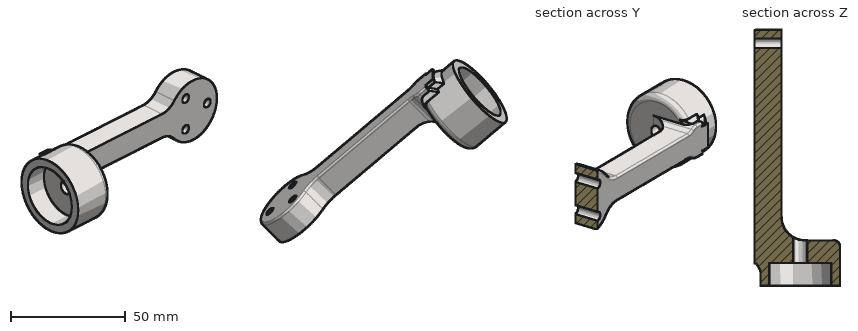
import cadquery as cq
import math

cup_diameter = 35.0
cup_length = 20.0
cup_edge_radius = 3.0
bore_diameter = 27.0
bore_depth = 10.0
axle_hole_diameter = 6.0

overall_length = 112
overall_width = 37.5
arm_thickness = 12.0
arm_width = 12.0
head_diameter = 30.0
neck_radius = 10.0
edge_radius = 1.0
web_radius = 10.0

mount_hole_diameter = 4.0
mount_circle_radius = 9.0
mount_hole_count = 3

root_width = 15.8
root_end_y = 13.8
flare_end_y = 18.0
flare_start_y = 24.1
root_foot_width = 18.6

toe_width = 11.6
toe_end_y = 9.7
toe_foot_width = 15.2

foot_height = 1.8
foot_reach = 3.0

cup_radius = cup_diameter / 2
arm_face_x = cup_radius - overall_width
arm_back_x = arm_face_x + arm_thickness
head_radius = head_diameter / 2
head_y = overall_length - head_radius
half_arm = arm_width / 2
half_root = root_width / 2
wall_center_radius = (cup_diameter + bore_diameter) / 4


def make_cup():
    cup = cq.Workplane("XZ").circle(cup_radius).extrude(-cup_length)
    return cup.faces(">Y").edges().fillet(cup_edge_radius)


def arm_blank(depth):
    """Arm outline, symmetric about Z = 0, extruded along +X from the outer face."""
    neck_offset = half_arm + neck_radius
    neck_reach = math.sqrt((head_radius + neck_radius) ** 2 - neck_offset ** 2)
    neck_y = head_y - neck_reach
    share = head_radius / (head_radius + neck_radius)
    join_y = head_y - neck_reach * share
    join_z = neck_offset * share
    turn = (math.pi / 2 + math.atan2(neck_offset, neck_reach)) / 2
    neck_mid_y = neck_y + neck_radius * math.cos(turn)
    neck_mid_z = neck_offset - neck_radius * math.sin(turn)
    flare_mid_y = (flare_start_y + flare_end_y) / 2
    flare_mid_z = (half_arm + half_root) / 2
    return (
        cq.Workplane("YZ", origin=(arm_face_x, 0, 0))
        .moveTo(root_end_y, -half_root)
        .lineTo(flare_end_y, -half_root)
        .tangentArcPoint((flare_mid_y, -flare_mid_z), relative=False)
        .tangentArcPoint((flare_start_y, -half_arm), relative=False)
        .lineTo(neck_y, -half_arm)
        .threePointArc((neck_mid_y, -neck_mid_z), (join_y, -join_z))
        .threePointArc((overall_length, 0), (join_y, join_z))
        .threePointArc((neck_mid_y, neck_mid_z), (neck_y, half_arm))
        .lineTo(flare_start_y, half_arm)
        .tangentArcPoint((flare_mid_y, flare_mid_z), relative=False)
        .tangentArcPoint((flare_end_y, half_root), relative=False)
        .lineTo(root_end_y, half_root)
        .close()
        .extrude(depth)
    )


def make_arm():
    """Arm plate whose back curves out into a web meeting the back of the cup."""
    web_end_x = arm_back_x + web_radius
    web_start_y = cup_length + web_radius
    bend = web_radius * math.sqrt(0.5)
    side_profile = (
        cq.Workplane("XY", origin=(0, 0, -head_radius))
        .moveTo(arm_face_x, root_end_y)
        .lineTo(arm_face_x, overall_length)
        .lineTo(arm_back_x, overall_length)
        .lineTo(arm_back_x, web_start_y)
        .threePointArc((web_end_x - bend, web_start_y - bend), (web_end_x, cup_length))
        .lineTo(web_end_x, root_end_y)
        .close()
        .extrude(head_diameter)
    )
    blank = arm_blank(web_end_x - arm_face_x)
    rim_zone = cq.selectors.BoxSelector(
        (arm_face_x - edge_radius, root_end_y + edge_radius, -head_radius),
        (arm_face_x + edge_radius, overall_length, head_radius),
    )
    long_edges = blank.faces("<X").edges(rim_zone)
    return long_edges.fillet(edge_radius).intersect(side_profile)


def make_toe():
    """Narrow block under the root, running from the outer face into the cup wall."""
    depth = -wall_center_radius - arm_face_x
    length = flare_end_y - toe_end_y
    block = cq.Workplane("XY").box(depth, length, toe_width, centered=(False, False, True))
    return block.translate((arm_face_x, toe_end_y, 0))


def make_foot(width, foot_width, end_y):
    """Sector of a collar around the cup with a conical end and sides that slope out to the wall."""
    collar_radius = cup_radius + foot_height
    bend = cup_edge_radius * math.sqrt(0.5)
    corner_r = collar_radius - cup_edge_radius
    corner_y = cup_length - cup_edge_radius
    collar = (
        cq.Workplane("XY")
        .moveTo(wall_center_radius, end_y - foot_reach)
        .lineTo(cup_radius, end_y - foot_reach)
        .lineTo(collar_radius, end_y)
        .lineTo(collar_radius, corner_y)
        .threePointArc((corner_r + bend, corner_y + bend), (corner_r, cup_length))
        .lineTo(wall_center_radius, cup_length)
        .close()
        .revolve(360, (0, 0, 0), (0, 1, 0))
    )
    inner_x = -wall_center_radius / 2
    top_z = width / 2
    base_z = foot_width / 2
    top_x = -math.sqrt(collar_radius ** 2 - top_z ** 2)
    base_x = -math.sqrt(cup_radius ** 2 - base_z ** 2)
    sector = (
        cq.Workplane("XZ")
        .polyline([
            (arm_face_x, -top_z),
            (top_x, -top_z),
            (base_x, -base_z),
            (inner_x, -base_z),
            (inner_x, base_z),
            (base_x, base_z),
            (top_x, top_z),
            (arm_face_x, top_z),
        ])
        .close()
        .extrude(-cup_length)
    )
    return collar.intersect(sector)


def mount_holes():
    return (
        cq.Workplane("YZ", origin=(arm_face_x, head_y, 0))
        .polarArray(mount_circle_radius, 0, 360, mount_hole_count)
        .circle(mount_hole_diameter / 2)
        .extrude(arm_thickness)
    )


def cup_bore():
    pocket = cq.Workplane("XZ").circle(bore_diameter / 2).extrude(-bore_depth)
    axle_hole = cq.Workplane("XZ").circle(axle_hole_diameter / 2).extrude(-cup_length - web_radius)
    return pocket.union(axle_hole)


result = (
    make_cup()
    .union(make_arm())
    .union(make_toe())
    .union(make_foot(root_width, root_foot_width, root_end_y))
    .union(make_foot(toe_width, toe_foot_width, toe_end_y))
    .cut(mount_holes())
    .cut(cup_bore())
)